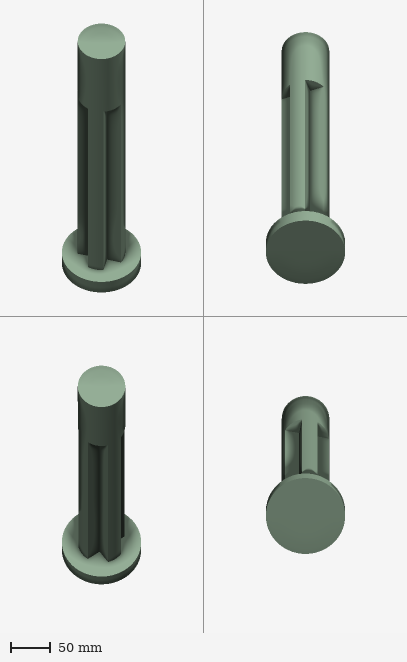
import cadquery as cq

base_diameter = 100.0
base_thickness = 20.0
column_diameter = 60.0
head_length = 100.0
overall_height = 420.0
rib_thickness = 20.0

rib_length = overall_height - base_thickness - head_length
head_bottom = base_thickness + rib_length


def cylinder(diameter, bottom, height):
    """Upright cylinder on the Z axis, starting at the given height."""
    return cq.Workplane("XY").workplane(offset=bottom).circle(diameter / 2).extrude(height)


def ribbed_shaft():
    """Cross-shaped shaft whose arm ends follow the column diameter."""
    round_blank = cylinder(column_diameter, base_thickness, rib_length)
    section_plane = cq.Workplane("XY").workplane(offset=base_thickness)
    arm_along_x = section_plane.rect(column_diameter, rib_thickness).extrude(rib_length)
    arm_along_y = section_plane.rect(rib_thickness, column_diameter).extrude(rib_length)
    return arm_along_x.union(arm_along_y).intersect(round_blank)


base = cylinder(base_diameter, 0, base_thickness)
head = cylinder(column_diameter, head_bottom, head_length)

result = base.union(ribbed_shaft()).union(head)